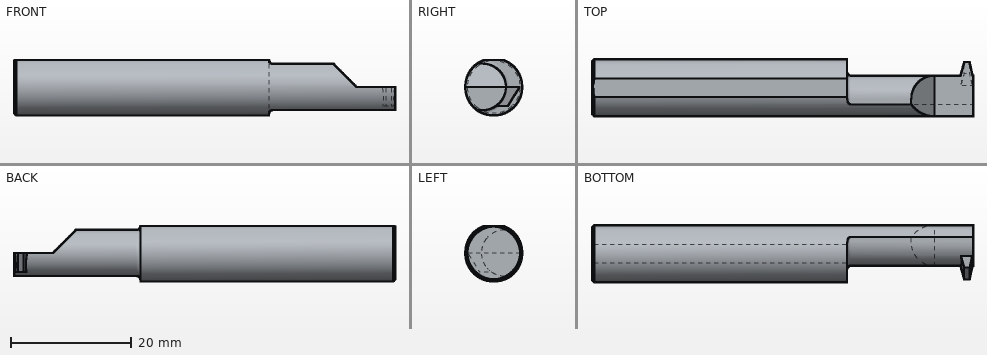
import cadquery as cq
import math

length = 63.5
shank_radius = 4.75
shank_length = 42.5
shank_flat_height = 4.5
end_chamfer = 0.4

neck_radius = 3.9
neck_side_y = 2.05
neck_center_y = neck_side_y - neck_radius
shoulder_fillet = 0.6

ramp_start_x = 53.15
ramp_end_x = ramp_start_x + neck_radius

tooth_tip_y = 4.3
tooth_base_back_x = 61.35
tooth_tip_back_x = 62.0
tooth_tip_front_x = 62.85
tooth_base_front_x = 63.4
tooth_relief_angle = 32.0
tooth_depth = 3.2
tooth_root_y = 0.0


def rod(radius, start_x, end_x):
    """Cylinder along X between two stations."""
    return cq.Workplane("YZ", origin=(start_x, 0, 0)).circle(radius).extrude(end_x - start_x)


def make_shank():
    """Round shank with a chamfered rear end and a clamping flat on top."""
    shank = rod(shank_radius, 0, shank_length).faces("<X").chamfer(end_chamfer)
    flat_cut = cq.Workplane("XY", origin=(0, 0, shank_flat_height)).rect(
        2 * shank_length, 2 * shank_radius
    ).extrude(shank_radius)
    return shank.cut(flat_cut)


def make_neck():
    """D-shaped neck, filleted against the shoulder and trimmed to the shank's round."""
    open_side_y = -2 * shank_radius
    shoulder = cq.Workplane("YZ", origin=(shank_length, 0, 0)).rect(
        -2 * open_side_y, -2 * open_side_y
    ).extrude(-shank_radius)
    bar = (
        cq.Workplane("YZ", origin=(shank_length, 0, 0))
        .moveTo(open_side_y, -neck_radius)
        .lineTo(neck_center_y, -neck_radius)
        .threePointArc((neck_side_y, 0), (neck_center_y, neck_radius))
        .lineTo(open_side_y, neck_radius)
        .close()
        .extrude(length - shank_length)
    )
    root_edges = cq.selectors.BoxSelector(
        (shank_length - shoulder_fillet, open_side_y, -neck_radius - shoulder_fillet),
        (shank_length + shoulder_fillet, neck_side_y + shoulder_fillet, neck_radius + shoulder_fillet),
    )
    neck = shoulder.union(bar).edges(root_edges).fillet(shoulder_fillet)
    return neck.intersect(rod(shank_radius, shank_length, length))


def make_tip_cut():
    """Material removed above the rake face and its 45 degree ramp."""
    overshoot = shank_radius
    outline = [
        (ramp_end_x, 0),
        (length + overshoot, 0),
        (length + overshoot, neck_radius + overshoot),
        (ramp_start_x - overshoot, neck_radius + overshoot),
    ]
    return cq.Workplane("XZ").polyline(outline).close().extrude(2 * shank_radius, both=True)


def make_tooth():
    """Pointed tooth that leans back towards -Y below the rake face."""
    outline = [
        (tooth_base_back_x, neck_side_y),
        (tooth_tip_back_x, tooth_tip_y),
        (tooth_tip_front_x, tooth_tip_y),
        (tooth_base_front_x, neck_side_y),
        (tooth_base_front_x, tooth_root_y),
        (tooth_base_back_x, tooth_root_y),
    ]
    setback = tooth_depth * math.tan(math.radians(tooth_relief_angle))
    return (
        cq.Workplane("XY")
        .polyline(outline)
        .close()
        .workplane(offset=-tooth_depth)
        .center(0, -setback)
        .polyline(outline)
        .close()
        .loft(ruled=True)
    )


result = make_shank().union(make_neck()).cut(make_tip_cut()).union(make_tooth())